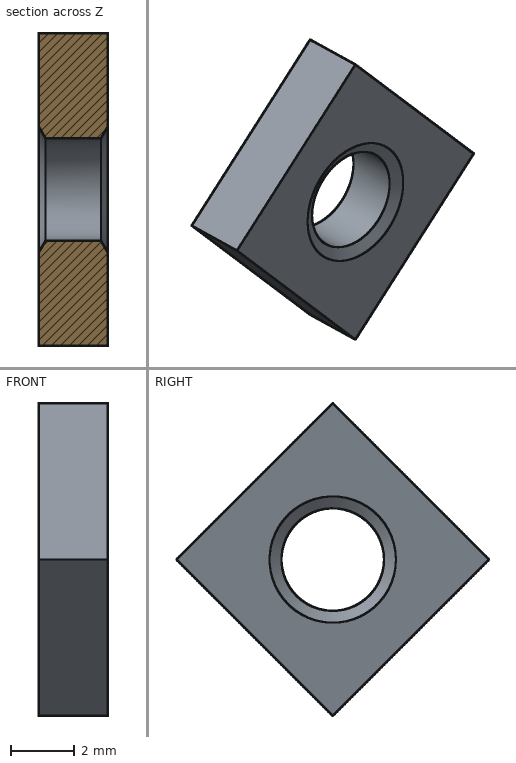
import cadquery as cq
import math

diagonal = 9.9
thickness = 2.2
half_thickness = thickness / 2
hole_diameter = 3.24
countersink_diameter = 4.0
countersink_slope = 30.0

countersink_width = (countersink_diameter - hole_diameter) / 2
countersink_depth = countersink_width * math.tan(math.radians(countersink_slope))

plate = (
    cq.Workplane("YZ")
    .polygon(4, diagonal)
    .extrude(half_thickness, both=True)
)

bore_end = half_thickness - countersink_depth
hole = (
    cq.Workplane("XY")
    .moveTo(-half_thickness, 0)
    .lineTo(-half_thickness, countersink_diameter / 2)
    .lineTo(-bore_end, hole_diameter / 2)
    .lineTo(bore_end, hole_diameter / 2)
    .lineTo(half_thickness, countersink_diameter / 2)
    .lineTo(half_thickness, 0)
    .close()
    .revolve(360, (0, 0, 0), (1, 0, 0))
)

result = plate.cut(hole)